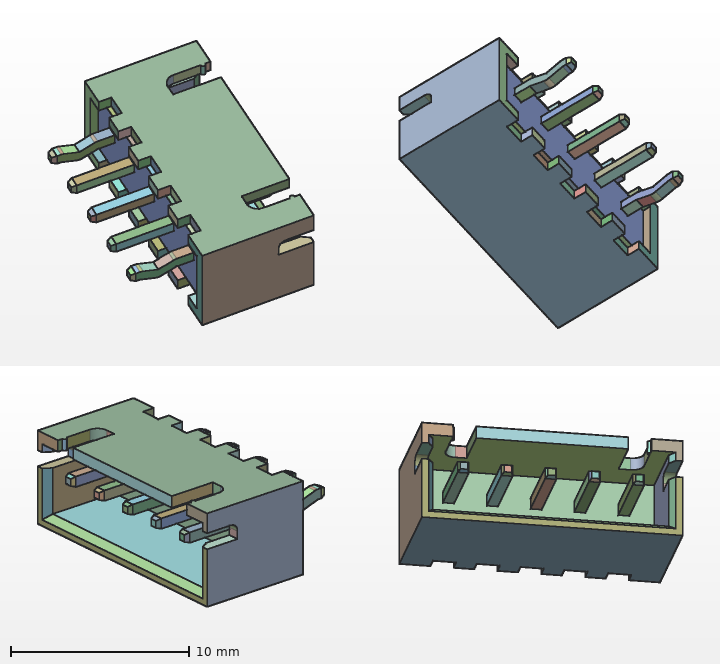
import cadquery as cq
import math

WIDTH = 14.9
DEPTH = 7.0
HEIGHT = 5.75
WALL = 0.72
FRONT_RECESS = 0.5
FLOOR_THICKNESS = 1.49

MOUTH_CHAMFER_DEPTH = 0.5
MOUTH_CHAMFER_INSET = 0.33

PIN_COUNT = 5
PIN_PITCH = 2.5
PIN_HEIGHT = 3.4

PIN_SIZE = 0.64
PIN_FRONT_LENGTH = 3.4
PIN_BACK_GAP = 0.2
TIP_LENGTH = 0.3
TIP_INSET = 0.1

KINK_START = 0.55
KINK_ANGLE = 18.0

NOTCH_WIDTH = 1.33
NOTCH_DEPTH = 0.79

TOP_SLOT_LENGTH = 3.0
TOP_SLOT_RADIUS = NOTCH_WIDTH / 2
BUMP_RADIUS = 0.15
BUMP_FROM_BACK = 0.48

SIDE_SLOT_BOTTOM = 3.55
SIDE_SLOT_HEIGHT = 0.98
SIDE_SLOT_LENGTH = 2.22
SIDE_SLOT_RADIUS = 0.49

PIN_POSITIONS = [(i - (PIN_COUNT - 1) / 2) * PIN_PITCH for i in range(PIN_COUNT)]
OUTER_PINS = (PIN_POSITIONS[0], PIN_POSITIONS[-1])
INNER_PINS = PIN_POSITIONS[1:-1]

PIN_FRONT = -PIN_FRONT_LENGTH
PIN_BACK = DEPTH - PIN_BACK_GAP
PIN_TOP = PIN_HEIGHT + PIN_SIZE / 2
PIN_BOTTOM = PIN_HEIGHT - PIN_SIZE / 2


def block(x_range, y_range, z_range):
    """Axis-aligned box between the given limits."""
    size = [high - low for low, high in (x_range, y_range, z_range)]
    corner = (x_range[0], y_range[0], z_range[0])
    return cq.Workplane("XY").box(*size, centered=False).translate(corner)


def make_shell():
    """Rectangular tube with a floor set back from its front rim."""
    inner_half = WIDTH / 2 - WALL
    floor_back = FRONT_RECESS + FLOOR_THICKNESS
    outside = block((-WIDTH / 2, WIDTH / 2), (0, DEPTH), (0, HEIGHT))
    inner_x = (-inner_half, inner_half)
    inner_z = (WALL, HEIGHT - WALL)
    recess = block(inner_x, (0, FRONT_RECESS), inner_z)
    cavity = block(inner_x, (floor_back, DEPTH), inner_z)
    return outside.cut(recess).cut(cavity)


def mouth_chamfer():
    """Flared cutter for the cavity mouth; the top wall stays square."""
    inner_width = WIDTH - 2 * WALL
    inner_height = HEIGHT - 2 * WALL
    return (
        cq.Workplane("XZ", origin=(0, DEPTH - MOUTH_CHAMFER_DEPTH, 0))
        .center(0, HEIGHT / 2)
        .rect(inner_width, inner_height)
        .workplane(offset=-MOUTH_CHAMFER_DEPTH)
        .center(0, -MOUTH_CHAMFER_INSET / 2)
        .rect(inner_width + 2 * MOUTH_CHAMFER_INSET, inner_height + MOUTH_CHAMFER_INSET)
        .loft(ruled=True)
    )


def rim_notches(x):
    """Pair of notches through the top and bottom walls at one pin."""
    x_range = (x - NOTCH_WIDTH / 2, x + NOTCH_WIDTH / 2)
    lower = block(x_range, (0, NOTCH_DEPTH), (0, WALL))
    upper = block(x_range, (0, NOTCH_DEPTH), (HEIGHT - WALL, HEIGHT))
    return lower.union(upper)


def top_slot(x):
    """Slot above an outer pin: outer corner rounded, bump on the outer edge."""
    outward = math.copysign(1, x)
    outer_edge = x + outward * NOTCH_WIDTH / 2
    x_range = (x - NOTCH_WIDTH / 2, x + NOTCH_WIDTH / 2)
    z_range = (HEIGHT - WALL, HEIGHT)
    outer_corner = ">X and <Y" if outward > 0 else "<X and <Y"
    slot = block(x_range, (DEPTH - TOP_SLOT_LENGTH, DEPTH), z_range)
    slot = slot.edges("|Z").edges(outer_corner).fillet(TOP_SLOT_RADIUS)
    bump = (
        cq.Workplane("XY", origin=(outer_edge, DEPTH - BUMP_FROM_BACK, HEIGHT - WALL))
        .circle(BUMP_RADIUS)
        .extrude(WALL)
    )
    return slot.cut(bump)


def side_slots():
    """Slot through both side walls, with its upper inner corner rounded."""
    z_range = (SIDE_SLOT_BOTTOM, SIDE_SLOT_BOTTOM + SIDE_SLOT_HEIGHT)
    slot = block((-WIDTH / 2, WIDTH / 2), (DEPTH - SIDE_SLOT_LENGTH, DEPTH), z_range)
    return slot.edges("<Y and >Z").fillet(SIDE_SLOT_RADIUS)


def pin_hole(x):
    """Square hole through the floor that fits one pin."""
    x_range = (x - PIN_SIZE / 2, x + PIN_SIZE / 2)
    return block(x_range, (0, DEPTH), (PIN_BOTTOM, PIN_TOP))


def make_housing():
    housing = make_shell().cut(mouth_chamfer()).cut(side_slots())
    for x in PIN_POSITIONS:
        housing = housing.cut(rim_notches(x)).cut(pin_hole(x))
    for x in OUTER_PINS:
        housing = housing.cut(top_slot(x))
    return housing


def pin_tip(x, y_base, y_end):
    """Tapered pin end from its full section at y_base to its tip at y_end."""
    tip_size = PIN_SIZE - 2 * TIP_INSET
    return (
        cq.Workplane("XZ", origin=(x, y_base, PIN_HEIGHT))
        .rect(PIN_SIZE, PIN_SIZE)
        .workplane(offset=y_base - y_end)
        .rect(tip_size, tip_size)
        .loft(ruled=True)
    )


def add_tips(shaft, x):
    """Join the tapered ends to a pin shaft."""
    front_tip = pin_tip(x, PIN_FRONT + TIP_LENGTH, PIN_FRONT)
    back_tip = pin_tip(x, PIN_BACK - TIP_LENGTH, PIN_BACK)
    return shaft.union(front_tip).union(back_tip)


def make_straight_pin(x):
    x_range = (x - PIN_SIZE / 2, x + PIN_SIZE / 2)
    y_range = (PIN_FRONT + TIP_LENGTH, PIN_BACK - TIP_LENGTH)
    return add_tips(block(x_range, y_range, (PIN_BOTTOM, PIN_TOP)), x)


def make_kinked_pin(x):
    """Pin with a downward V in front of the housing.

    Each bend has a sharp inner corner and an outer arc centred on it,
    so the section keeps its thickness all the way round.
    """
    angle = math.radians(KINK_ANGLE)
    shift = PIN_SIZE * math.sin(angle)
    rise = PIN_SIZE * math.cos(angle)
    half_shift = PIN_SIZE * math.sin(angle / 2)
    half_rise = PIN_SIZE * math.cos(angle / 2)

    first_y = -KINK_START
    middle_y = PIN_FRONT / 2
    last_y = PIN_FRONT + KINK_START
    slope_run = first_y - shift - middle_y
    middle_z = PIN_BOTTOM + rise - slope_run * math.tan(angle)

    shaft_front = PIN_FRONT + TIP_LENGTH
    shaft_back = PIN_BACK - TIP_LENGTH
    shaft = (
        cq.Workplane("YZ", origin=(x - PIN_SIZE / 2, 0, 0))
        .moveTo(shaft_back, PIN_TOP)
        .lineTo(first_y, PIN_TOP)
        .threePointArc(
            (first_y - half_shift, PIN_BOTTOM + half_rise),
            (first_y - shift, PIN_BOTTOM + rise),
        )
        .lineTo(middle_y, middle_z)
        .lineTo(last_y + shift, PIN_BOTTOM + rise)
        .threePointArc((last_y + half_shift, PIN_BOTTOM + half_rise), (last_y, PIN_TOP))
        .lineTo(shaft_front, PIN_TOP)
        .lineTo(shaft_front, PIN_BOTTOM)
        .lineTo(last_y, PIN_BOTTOM)
        .lineTo(middle_y - shift, middle_z - rise)
        .threePointArc((middle_y, middle_z - PIN_SIZE), (middle_y + shift, middle_z - rise))
        .lineTo(first_y, PIN_BOTTOM)
        .lineTo(shaft_back, PIN_BOTTOM)
        .close()
        .extrude(PIN_SIZE)
    )
    return add_tips(shaft, x)


housing = make_housing()
straight_pins = [make_straight_pin(x).val() for x in INNER_PINS]
kinked_pins = [make_kinked_pin(x).val() for x in OUTER_PINS]

result = cq.Compound.makeCompound([housing.val(), *straight_pins, *kinked_pins])